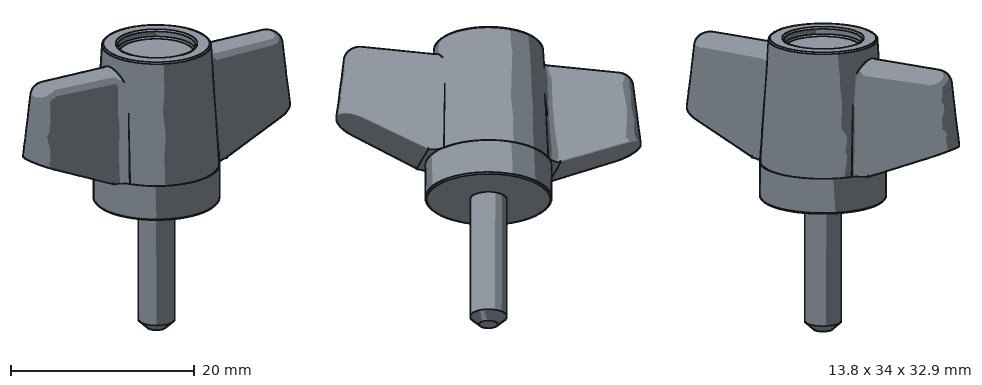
import cadquery as cq
import math

HUB_HEIGHT = 18.0
COLLAR_RADIUS = 13.75 / 2
COLLAR_HEIGHT = 4.0
CONE_BASE_RADIUS = 6.8
CONE_TOP_RADIUS = 5.95
EDGE_CHAMFER = 0.17

RECESS_RADIUS = 8.5 / 2
RECESS_DEPTH = 1.0
RECESS_CHAMFER = 0.2

PIN_RADIUS = 4.0 / 2
PIN_LENGTH = 14.9
PIN_TIP_RADIUS = 1.02
PIN_TIP_LENGTH = 0.92

WING_REACH = 17.0
WING_TOP = 16.5
CREST_BASE = 14.9
CREST_HALF_WIDTH = 1.8
FOOT_HALF_WIDTH = 2.72
CREST_END_CENTER = 14.37
FOOT_END_CENTER = 14.78
WING_TIP_BOTTOM = 8.05
UNDERSIDE_FILLET = 0.17

FLARE_CREST_START = 6.65
FLARE_CREST_LENGTH = 1.15
FLARE_CREST_GROWTH = 0.85
FLARE_FOOT_START = 7.4
FLARE_FOOT_LENGTH = 1.55
FLARE_FOOT_GROWTH = 0.9
FLARE_TURN = math.radians(65)
FLARE_STEPS = 4


def make_hub_and_pin():
    """Revolve the pin, collar, tapered hub and recess (beveled at mouth and floor) as one profile."""
    recess_floor = HUB_HEIGHT - RECESS_DEPTH
    profile = [
        (0, -PIN_LENGTH),
        (PIN_TIP_RADIUS, -PIN_LENGTH),
        (PIN_RADIUS, PIN_TIP_LENGTH - PIN_LENGTH),
        (PIN_RADIUS, 0),
        (COLLAR_RADIUS - EDGE_CHAMFER, 0),
        (COLLAR_RADIUS, EDGE_CHAMFER),
        (COLLAR_RADIUS, COLLAR_HEIGHT),
        (CONE_BASE_RADIUS, COLLAR_HEIGHT),
        (CONE_TOP_RADIUS, HUB_HEIGHT - EDGE_CHAMFER),
        (CONE_TOP_RADIUS - EDGE_CHAMFER, HUB_HEIGHT),
        (RECESS_RADIUS + RECESS_CHAMFER, HUB_HEIGHT),
        (RECESS_RADIUS, HUB_HEIGHT - RECESS_CHAMFER),
        (RECESS_RADIUS, recess_floor + RECESS_CHAMFER),
        (RECESS_RADIUS - RECESS_CHAMFER, recess_floor),
        (0, recess_floor),
    ]
    return cq.Workplane("XZ").polyline(profile).close().revolve(360, (0, 0), (0, 1))


def wing_outline(height, half_width, end_center):
    """Horizontal wing section: straight flanks from the hub axis to a round end."""
    return (
        cq.Workplane("XY", origin=(0, 0, height))
        .moveTo(-half_width, 0)
        .lineTo(-half_width, end_center)
        .threePointArc((0, end_center + half_width), (half_width, end_center))
        .lineTo(half_width, 0)
        .close()
        .wires()
        .val()
    )


def make_wing():
    """Build the +Y wing, trimmed along its sloping underside."""
    foot = wing_outline(COLLAR_HEIGHT, FOOT_HALF_WIDTH, FOOT_END_CENTER)
    shoulder = wing_outline(CREST_BASE, CREST_HALF_WIDTH, CREST_END_CENTER)
    blade = cq.Workplane(cq.Solid.makeLoft([foot, shoulder], True))

    crest_height = WING_TOP - CREST_BASE
    ridge = (
        cq.Workplane("XZ", origin=(0, 0, CREST_BASE))
        .moveTo(CREST_HALF_WIDTH, 0)
        .ellipseArc(CREST_HALF_WIDTH, crest_height, 0, 180, startAtCurrent=True)
        .close()
        .extrude(-CREST_END_CENTER)
    )
    dome = (
        cq.Workplane("XZ", origin=(0, CREST_END_CENTER, CREST_BASE))
        .moveTo(CREST_HALF_WIDTH, 0)
        .ellipseArc(CREST_HALF_WIDTH, crest_height, 0, 90, startAtCurrent=True)
        .lineTo(0, 0)
        .close()
        .revolve(360, (0, 0), (0, 1))
    )
    cut_end_y = 2 * WING_REACH - FLARE_FOOT_START
    cut_end_z = 2 * WING_TIP_BOTTOM - COLLAR_HEIGHT
    below_underside = (
        cq.Workplane("YZ")
        .moveTo(FLARE_FOOT_START, COLLAR_HEIGHT)
        .lineTo(cut_end_y, cut_end_z)
        .lineTo(cut_end_y, 0)
        .lineTo(FLARE_FOOT_START, 0)
        .close()
        .extrude(COLLAR_RADIUS, both=True)
    )
    wing = blade.union(ridge).union(dome).cut(below_underside)
    underside = wing.faces(cq.selectors.DirectionMinMaxSelector(cq.Vector(0, 1, -1), True))
    return underside.edges("not(<Y)").fillet(UNDERSIDE_FILLET)


def flare_section(turn):
    """Wing section on a plane leaning with the hub flank, after the flare has turned by an angle."""
    run = math.sin(turn) / math.sin(FLARE_TURN)
    growth = (1 - math.cos(turn)) / (1 - math.cos(FLARE_TURN))
    crest_y = FLARE_CREST_START - FLARE_CREST_LENGTH * run
    foot_y = FLARE_FOOT_START - FLARE_FOOT_LENGTH * run
    crest_half = CREST_HALF_WIDTH + FLARE_CREST_GROWTH * growth
    foot_half = FOOT_HALF_WIDTH + FLARE_FOOT_GROWTH * growth

    rise = CREST_BASE - COLLAR_HEIGHT
    lean = foot_y - crest_y
    stretch = math.hypot(rise, lean) / rise
    plane = cq.Plane((0, crest_y, CREST_BASE), (1, 0, 0), (0, -rise, -lean))
    crest_height = (WING_TOP - CREST_BASE) * stretch
    return (
        cq.Workplane(plane)
        .moveTo(crest_half, 0)
        .ellipseArc(crest_half, crest_height, 0, 180, startAtCurrent=True)
        .lineTo(-foot_half, -rise * stretch)
        .lineTo(foot_half, -rise * stretch)
        .close()
        .wires()
        .val()
    )


def make_flare():
    """Blend the root of the +Y wing into the hub with concave sides."""
    sections = [flare_section(FLARE_TURN * step / FLARE_STEPS) for step in range(FLARE_STEPS + 1)]
    return cq.Workplane(cq.Solid.makeLoft(sections))


result = make_hub_and_pin()
wing_with_flare = make_wing().union(make_flare())
for angle in (0, 180):
    result = result.union(wing_with_flare.rotate((0, 0, 0), (0, 0, 1), angle))